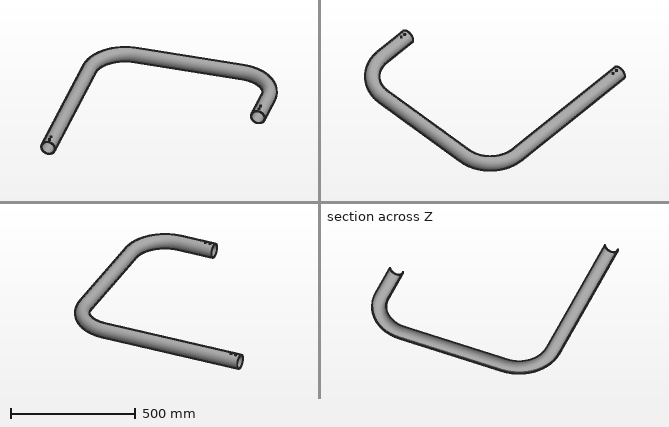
import cadquery as cq

overall_width = 810.0
overall_depth = 780.0
tube_diameter = 60.0
wall_thickness = 3.0
bend_radius = 150.0
short_leg_depth = 330.0
hole_diameter = 6.0
hole_offsets = (19.5, 40.0)

tube_radius = tube_diameter / 2
leg_x = overall_width / 2 - tube_radius
crossbar_y = overall_depth / 2 - tube_radius
long_end_y = -overall_depth / 2
short_end_y = overall_depth / 2 - short_leg_depth
bend_y = crossbar_y - bend_radius
bend_x = leg_x - bend_radius

centreline = (
    cq.Workplane("XY")
    .moveTo(-leg_x, long_end_y)
    .lineTo(-leg_x, bend_y)
    .tangentArcPoint((-bend_x, crossbar_y), relative=False)
    .lineTo(bend_x, crossbar_y)
    .tangentArcPoint((leg_x, bend_y), relative=False)
    .lineTo(leg_x, short_end_y)
)
tube = (
    cq.Workplane("XZ", origin=(-leg_x, long_end_y, 0))
    .circle(tube_radius)
    .circle(tube_radius - wall_thickness)
    .sweep(centreline)
)

hole_centres = []
for x, end_y in ((-leg_x, long_end_y), (leg_x, short_end_y)):
    for offset in hole_offsets:
        hole_centres.append((x, end_y + offset))

holes = (
    cq.Workplane("XY")
    .pushPoints(hole_centres)
    .circle(hole_diameter / 2)
    .extrude(tube_radius)
)

result = tube.cut(holes)